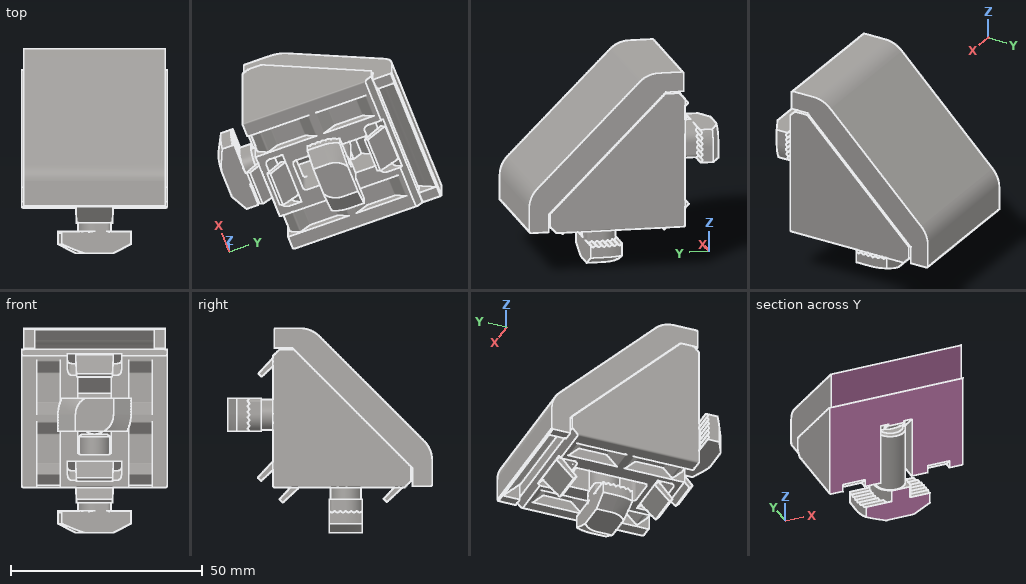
import cadquery as cq
import math


bracket_width = 38.0
leg_length = 36.1
slope_sum = 41.55
tip_chamfer = 1.7
edge_round = 0.55

pocket_width = 6.15
pocket_middle = 12.0
pocket_depth = 3.0
pocket_length = 13.8
pocket_start = 3.2
pocket_pitch = 16.0
pocket_round = 0.5
near_mouth_round = 0.2
rib_end_sum = 3.95
flare_margin = 0.8

window_width = 14.1
window_round = 1.05
outer_window_sum = 35.45
outer_window_lean = 29.35
inner_window_sum = 6.9
inner_window_lean = 1.9
tab_width = 9.85
tab_thickness = 1.7
tab_taper = 2.0
outer_tab_lean = 32.7
outer_tab_end_sum = 25.9
inner_tab_lean = 5.65
inner_tab_end_sum = -1.4

cavity_width = 8.75
cavity_floor = 8.55
cavity_lean = 28.85
cavity_back_sum = 36.6
cavity_round = 0.95
boss_sum = 32.35
boss_lean = 12.55
boss_disc_sum = 31.8
boss_disc_diameter = 5.5

cover_width = 37.0
cover_reach = 41.65
cover_slope_sum = 51.7
cover_end = 0.3
cover_bend_round = 7.15
cover_chamfer = 0.3
leg_gap = 0.3
cover_cheek = 2.9
bead_height = 0.065
bead_start_lean = 33.3
bead_end_lean = 35.65

bolt_position = 19.05
shaft_diameter = 8.0
shaft_depth = 13.95
shaft_chamfer = 0.65
neck_start = 3.0
neck_width = 8.65
neck_round = 1.05
head_start = 6.1
head_shoulder = 9.4
head_end = 11.8
head_length = 19.15
head_face_length = 9.95
tooth_depth = 0.55
tooth_count = 6

DIAGONAL = math.sqrt(2)
edge_tolerance = 0.005


def point(total, lean):
    """Y, Z of the point with the given Y + Z and Z - Y."""
    return ((total - lean) / 2, (total + lean) / 2)


def diagonal_workplane(total, lean):
    """Workplane facing the bracket corner; its local Y grows with the lean."""
    plane = cq.Plane(origin=(0, *point(total, lean)), xDir=(1, 0, 0), normal=(0, -1, -1))
    return cq.Workplane(plane)


def prism(points, width, middle=0.0):
    """Y, Z outline extruded along X, centred on the given X."""
    outline = cq.Workplane("YZ", origin=(middle, 0, 0)).polyline(points).close()
    return outline.extrude(width / 2, both=True)


def swapped(points):
    """Outline mirrored about Y = Z, kept in walking order."""
    return [(z, y) for y, z in reversed(points)]


def with_mirror(body):
    """The body and its mirror image about Y = Z."""
    return [body, body.mirror((0, 1, -1))]


def round_edges(body, points, radius):
    """Round the edges along X that pass through the given Y, Z points."""
    def is_chosen(edge):
        centre = edge.Center()
        return any(math.hypot(centre.y - y, centre.z - z) < edge_tolerance for y, z in points)

    chosen = [edge for edge in body.edges("|X").vals() if is_chosen(edge)]
    return body.newObject(chosen).fillet(radius)


def pocket_upper_walls(top):
    """Mouth edge and floor edge at the far end of a pocket, with a strip lying on the face."""
    strip = [(-flare_margin, top + flare_margin), (0, top + flare_margin)]
    corners = [(0, top), (pocket_depth, top - pocket_depth)]
    return strip, corners


def make_outer_pocket(middle):
    start = pocket_start + pocket_pitch
    strip, far_corners = pocket_upper_walls(start + pocket_length)
    floor_end = (pocket_depth, start + pocket_depth)
    near_mouth = (0, start)
    near_strip = [(0, start - flare_margin), (-flare_margin, start - flare_margin)]
    corners = far_corners + [floor_end]
    pocket = prism(strip + corners + [near_mouth] + near_strip, pocket_width, middle)
    pocket = round_edges(pocket, corners, pocket_round)
    return round_edges(pocket, [near_mouth], near_mouth_round)


def make_corner_pockets(middle):
    """The innermost pockets of both legs, joined round the end of the diagonal rib."""
    strip, far_corners = pocket_upper_walls(pocket_start + pocket_length)
    near_corners = [(pocket_depth, pocket_start + pocket_depth), point(rib_end_sum, pocket_start)]
    half = far_corners + near_corners
    corners = half + swapped(half)
    outside = [(-flare_margin, -flare_margin)]
    return round_edges(prism(strip + corners + swapped(strip) + outside, pocket_width, middle),
                       corners, pocket_round)


def make_window(total, lean):
    """Slanted notch running out from its back wall to the outside."""
    height = total - lean
    notch = diagonal_workplane(total, lean + height / 2).rect(window_width, height / DIAGONAL)
    return notch.extrude(total).edges("|(0,1,1)").edges("<(0,-1,1)").fillet(window_round)


def make_tab(root_sum, end_sum, lean):
    length = (root_sum - end_sum) / DIAGONAL
    root = diagonal_workplane(root_sum, lean).rect(tab_width, tab_thickness)
    return root.extrude(length, taper=tab_taper)


def on_corner_block(edge):
    """True for an edge lying on the two faces of the square block in the bracket corner."""
    centre = edge.Center()
    return max(centre.y, centre.z) < cavity_floor + edge_tolerance


def make_cavity():
    """Slot through both legs, leaving a corner block, and a boss with a round disc on the back wall."""
    half = [
        (cavity_floor, 0),
        (cavity_lean, 0),
        point(cavity_back_sum, -cavity_lean),
        point(cavity_back_sum, -boss_lean),
        point(boss_sum, -boss_lean),
    ]
    cavity = prism(half + swapped(half) + [(cavity_floor, cavity_floor)], cavity_width)
    floor_edges = [edge for edge in cavity.edges("|Y or |Z").vals() if on_corner_block(edge)]
    cavity = cavity.newObject(floor_edges).fillet(cavity_round)
    disc_height = (boss_sum - boss_disc_sum) / DIAGONAL
    disc = diagonal_workplane(boss_sum, 0).circle(boss_disc_diameter / 2).extrude(disc_height)
    return cavity.cut(disc)


def make_bracket(bolts):
    slope_end = slope_sum - leg_length
    half = [(0, leg_length - tip_chamfer), (tip_chamfer, leg_length), (slope_end, leg_length)]
    bracket = prism([(0, 0)] + half + swapped(half), bracket_width)
    bracket = bracket.faces("<Y or <Z").edges("(not |X) or (<Y and <Z)").fillet(edge_round)

    for middle in (-pocket_middle, pocket_middle):
        for pocket in with_mirror(make_outer_pocket(middle)):
            bracket = bracket.cut(pocket)
        bracket = bracket.cut(make_corner_pockets(middle))

    windows = [(outer_window_sum, outer_window_lean), (inner_window_sum, inner_window_lean)]
    for total, lean in windows:
        for window in with_mirror(make_window(total, lean)):
            bracket = bracket.cut(window)

    bracket = bracket.cut(make_cavity())
    tabs = [
        (outer_window_sum, outer_tab_end_sum, outer_tab_lean),
        (inner_window_sum, inner_tab_end_sum, inner_tab_lean),
    ]
    for root_sum, end_sum, lean in tabs:
        for tab in with_mirror(make_tab(root_sum, end_sum, lean)):
            bracket = bracket.union(tab)

    for bolt in bolts:
        bracket = bracket.cut(bolt)
    return bracket


def make_bead(width):
    """Shallow round bead across the inner face of the cover."""
    middle_lean = (bead_start_lean + bead_end_lean) / 2
    crest = point(slope_sum - bead_height * DIAGONAL, middle_lean)
    arc = cq.Workplane("YZ").moveTo(*point(slope_sum, bead_start_lean))
    arc = arc.threePointArc(crest, point(slope_sum, bead_end_lean))
    return arc.close().extrude(width / 2, both=True)


def make_cover():
    leg_inside = leg_length + leg_gap
    bend = (cover_slope_sum - cover_reach, cover_reach)
    outer_end = (cover_end, cover_reach)
    half = [(slope_sum - leg_inside, leg_inside), (cover_end, leg_inside), outer_end, bend]
    cover = prism(half + swapped(half), cover_width)
    cover = round_edges(cover, [bend, bend[::-1]], cover_bend_round)
    end_edges = cover.edges("|X").edges("(>Z and <Y) or (>Y and <Z)")
    cover = end_edges.chamfer(cover_chamfer)

    inside_width = cover_width - 2 * cover_cheek
    cover = cover.cut(prism([(0, 0), (0, slope_sum), (slope_sum, 0)], inside_width))
    for bead in with_mirror(make_bead(inside_width)):
        cover = cover.union(bead)
    return cover


def make_bolt_head():
    """Hammer head: two opposite quarters turned, the other two square, with a toothed underside."""
    half_profile = [
        (head_length / 2, head_start),
        (head_length / 2, head_shoulder),
        (head_face_length / 2, head_end),
    ]
    mirrored = [(-x, z) for x, z in reversed(half_profile)]
    head = cq.Workplane("XZ").polyline(half_profile + mirrored).close()
    head = head.extrude(neck_width / 2, both=True)
    turned = cq.Workplane("XZ").polyline([(0, head_start)] + half_profile + [(0, head_end)])
    allowed = turned.close().revolve(360, (0, 0), (0, 1))
    for side in (-1, 1):
        quarter = cq.Workplane("XY", origin=(side * head_length / 4, side * neck_width / 4, head_start))
        quarter = quarter.rect(head_length / 2, neck_width / 2).extrude(head_end - head_start)
        allowed = allowed.union(quarter)
    head = head.intersect(allowed)

    pitch = neck_width / tooth_count
    for index in range(tooth_count):
        start = index * pitch - neck_width / 2
        valley = (start + pitch / 2, head_start + tooth_depth)
        groove = prism([(start, head_start), (start + pitch, head_start), valley], head_length)
        head = head.cut(groove)
    return head


def make_bolt():
    """T-slot bolt along Z with its head up; Z = 0 is level with the bracket face."""
    shaft = cq.Workplane("XY", origin=(0, 0, -shaft_depth)).circle(shaft_diameter / 2)
    shaft = shaft.extrude(shaft_depth + neck_start).faces("<Z").chamfer(shaft_chamfer)
    neck = cq.Workplane("XY", origin=(0, 0, neck_start)).rect(neck_width, neck_width)
    neck = neck.extrude(head_start + tooth_depth - neck_start)
    neck = neck.edges("|Z").edges("(<X and <Y) or (>X and >Y)").fillet(neck_round)
    cylinder = cq.Workplane("XY", origin=(0, 0, neck_start)).circle(neck_width / 2)
    cylinder = cylinder.extrude(head_start + tooth_depth - neck_start)
    for side in (-1, 1):
        quarter = cq.Workplane("XY", origin=(side * neck_width / 4, -side * neck_width / 4, neck_start))
        quarter = quarter.rect(neck_width / 2, neck_width / 2)
        neck = neck.cut(quarter.extrude(head_start + tooth_depth - neck_start))
    return shaft.union(neck.union(cylinder)).union(make_bolt_head())


def make_bolts():
    """One bolt through each leg, related by a quarter turn about X."""
    bolts = []
    for angle, place in ((90, (0, 0, bolt_position)), (180, (0, bolt_position, 0))):
        bolts.append(make_bolt().rotate((0, 0, 0), (1, 0, 0), angle).translate(place))
    return bolts


bolts = make_bolts()
bracket = make_bracket(bolts)
cover = make_cover()

result = cq.Compound.makeCompound([bracket.val(), cover.val(), *[bolt.val() for bolt in bolts]])